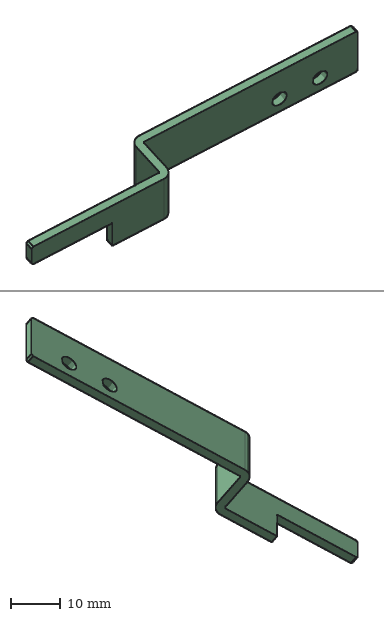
import cadquery as cq

length = 88.0
height = 12.5
width = 12.5

thickness = 1.9
inner_bend_radius = 0.3
outer_bend_radius = inner_bend_radius + thickness

rear_arm_flat_length = 52.8
tongue_length = 20.0
tongue_height = 5.5
corner_chamfer = 0.4

hole_diameter = 3.5
hole_spacing = 10.0
hole_count = 2
first_hole_from_end = 9.3
hole_height = 4.0

web_front_y = length - rear_arm_flat_length - outer_bend_radius
web_rear_y = web_front_y + thickness


def make_bent_strip():
    """Z-shaped strip, extruded upwards, with concentric bend radii."""
    profile = (
        cq.Workplane("XY")
        .moveTo(0, length)
        .lineTo(0, web_front_y)
        .lineTo(width - thickness, web_front_y)
        .lineTo(width - thickness, 0)
        .lineTo(width, 0)
        .lineTo(width, web_rear_y)
        .lineTo(thickness, web_rear_y)
        .lineTo(thickness, length)
        .close()
    )
    strip = profile.extrude(height)
    for outer, inner in (
        ((0, web_front_y), (thickness, web_rear_y)),
        ((width, web_rear_y), (width - thickness, web_front_y)),
    ):
        strip = round_upright_edge(strip, outer, outer_bend_radius)
        strip = round_upright_edge(strip, inner, inner_bend_radius)
    return strip


def round_upright_edge(body, corner, radius):
    """Fillet the vertical edge standing on the given XY corner."""
    edge = cq.selectors.NearestToPointSelector((*corner, height / 2))
    return body.edges("|Z").edges(edge).fillet(radius)


def make_tongue_notch():
    """Block removed below the tongue at the front end."""
    return cq.Workplane("XY").box(
        width, tongue_length, height - tongue_height, centered=False
    )


def make_holes():
    """Row of round holes running along X through the rear arm."""
    first_y = length - first_hole_from_end
    centres = [(first_y - i * hole_spacing, hole_height) for i in range(hole_count)]
    return cq.Workplane("YZ").pushPoints(centres).circle(hole_diameter / 2).extrude(thickness)


strip = make_bent_strip().cut(make_tongue_notch())
strip = strip.faces(">Y").edges("|X").chamfer(corner_chamfer)
strip = strip.faces("<Y").edges("|X").chamfer(corner_chamfer)
result = strip.cut(make_holes())